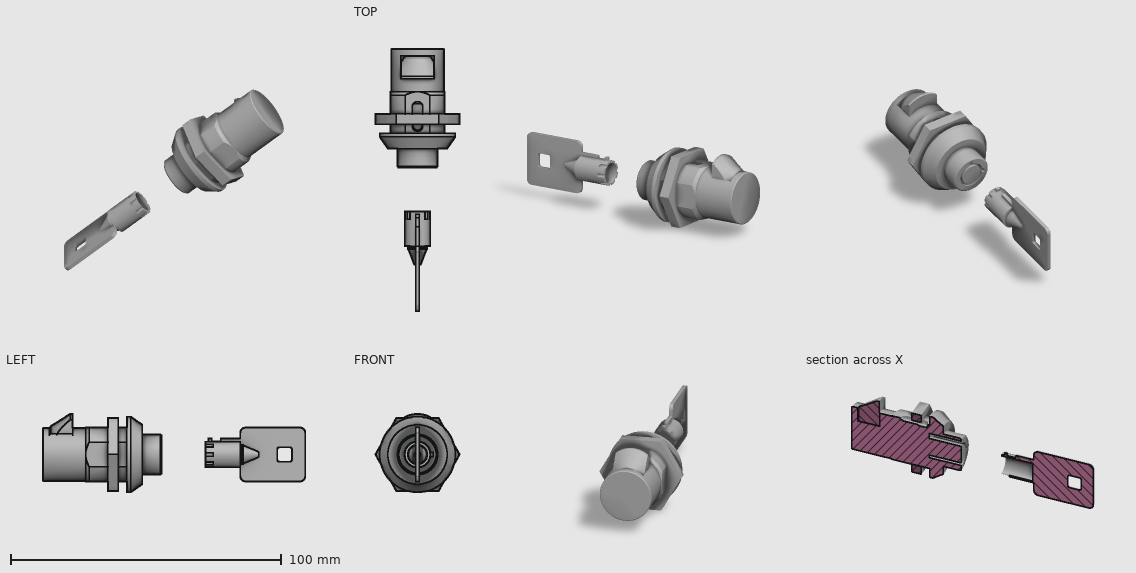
import cadquery as cq
import math


flange_radius = 14.0
flange_rim = 1.5
flange_face_radius = 11.0
flange_thickness = 5.7
nose_radius = 7.5
nose_length = 7.2
nose_chamfer = 0.6

sleeve_radius = 11.0
sleeve_length = 15.2
sleeve_flats_width = 20.0
sleeve_chamfer_length = 1.3
barrel_radius = 9.8
barrel_end = 31.1
barrel_chamfer = 0.3

slot_width = 4.0
slot_start = 0.7
slot_end = 11.5
slot_floor_radius = 8.9
slot_shelf_length = 0.8
slot_shelf_height = 9.3
slot_hole_radius = 1.65
slot_hole_floor = 8.5

keyway_outer_radius = 4.85
keyway_pin_radius = 3.9
notch_width = 1.65
top_notch_reach = 6.0
side_notch_reach = 5.7

pocket_width = 12.4
pocket_front = 20.1
pocket_rear = 28.6
pocket_floor = 3.9
latch_width = 12.1
latch_rear_gap = 0.3
latch_land = 0.9
latch_nose_length = 0.5
latch_top = 15.0
latch_land_radius = 9.4
latch_tip_radius = 5.0
latch_axis_height = latch_top - latch_land_radius

nut_across_flats = 27.0
nut_front = 3.2
nut_thickness = 3.9

tube_radius = 4.8
tube_bore_radius = keyway_pin_radius
tube_end_wall = 0.5
tube_rear = -28.9
tube_length = 12.9
tube_front = tube_rear - tube_length
keyway_depth = tube_length
bit_cut_radius = 0.7
bit_cut_length = 3.0
bit_cut_step = 45
blade_thickness = 1.5
web_height = 4.85
rib_height = 5.9
rib_start = 5.6
lug_start = 1.2
lug_length = 1.3
neck_radius = 2.8
neck_length = 0.5
collar_radius = 3.6
collar_length = 0.7
cone_base_radius = 3.4
cone_tip_radius = 1.2
cone_length = 5.7
bow_length = 24.1
bow_height = 20.0
bow_corner = 2.0
bow_hole_size = 5.3
bow_hole_corner = 0.8
bow_hole_offset = 16.4


def rod(radius, y_start, y_end):
    """Cylinder on the Y axis between two positions."""
    return cq.Workplane("XZ", origin=(0, y_start, 0)).circle(radius).extrude(y_start - y_end)


def block(width, y_start, y_end, z_low, z_high):
    """Box centred on X, spanning the given Y and Z ranges."""
    box = cq.Workplane("XY").box(width, y_end - y_start, z_high - z_low, centered=(True, False, False))
    return box.translate((0, y_start, z_low))


def turned(points):
    """Solid turned about the Y axis from (radius, y) points."""
    return cq.Workplane("XY").polyline(points).close().revolve(360, (0, 0, 0), (0, 1, 0))


def flats_envelope(y_start, y_end):
    """Square bar bounded by the four flats of the sleeve."""
    half_flats = sleeve_flats_width / 2
    return block(sleeve_flats_width, y_start, y_end, -half_flats, half_flats)


def make_sleeve():
    """Sleeve whose rear end is coned down to the distance of the flats."""
    chamfer_radius = sleeve_flats_width / 2
    sleeve = turned(
        [
            (0, 0),
            (sleeve_radius, 0),
            (sleeve_radius, sleeve_length - sleeve_chamfer_length),
            (chamfer_radius, sleeve_length),
            (0, sleeve_length),
        ]
    )
    return sleeve.intersect(flats_envelope(0, sleeve_length))


def make_flange_and_nose():
    """Flange with a coned front, and the chamfered nose that holds the keyway."""
    nose_end = -flange_thickness - nose_length
    return turned(
        [
            (0, 0),
            (flange_radius, 0),
            (flange_radius, -flange_rim),
            (flange_face_radius, -flange_thickness),
            (nose_radius, -flange_thickness),
            (nose_radius, nose_end + nose_chamfer),
            (nose_radius - nose_chamfer, nose_end),
            (0, nose_end),
        ]
    )


def make_sleeve_slot():
    """Round-ended slot with a cylindrical floor, a rear shelf and a blind front hole."""
    slot_length = slot_end - slot_start
    slot = (
        cq.Workplane("XY", origin=(0, slot_start + slot_length / 2, 0))
        .slot2D(slot_length, slot_width, 90)
        .extrude(sleeve_radius)
    )
    shelf = block(slot_width, slot_end - slot_shelf_length, slot_end, 0, slot_shelf_height)
    hole_centre = slot_start + slot_width / 2
    hole = (
        cq.Workplane("XY", origin=(0, hole_centre, slot_hole_floor))
        .circle(slot_hole_radius)
        .extrude(sleeve_radius - slot_hole_floor)
    )
    return slot.cut(rod(slot_floor_radius, slot_start, slot_end)).cut(shelf).union(hole)


def make_keyway():
    """Ring-shaped keyway with one notch above and one at the +X side."""
    face = -flange_thickness - nose_length
    floor = face + keyway_depth
    ring = rod(keyway_outer_radius, face, floor)
    ring = ring.union(block(notch_width, face, floor, 0, top_notch_reach))
    side_notch = block(notch_width, face, floor, 0, side_notch_reach).rotate((0, 0, 0), (0, 1, 0), 90)
    return ring.union(side_notch).cut(rod(keyway_pin_radius, face, floor))


def make_housing():
    barrel = rod(barrel_radius, sleeve_length, barrel_end).faces(">Y").chamfer(barrel_chamfer)
    pocket = block(pocket_width, pocket_front, pocket_rear, pocket_floor, barrel_radius)
    housing = make_flange_and_nose().union(make_sleeve()).union(barrel)
    return housing.cut(pocket).cut(make_sleeve_slot()).cut(make_keyway())


def make_latch():
    """Spring latch: a cone behind a short cylindrical land, trimmed to the latch width."""
    rear = pocket_rear - latch_rear_gap
    land_end = pocket_front + latch_land
    cone_end = rear - latch_nose_length
    profile = [
        (0, pocket_front),
        (latch_land_radius, pocket_front),
        (latch_land_radius, land_end),
        (latch_tip_radius, cone_end),
        (latch_tip_radius - latch_nose_length, rear),
        (0, rear),
    ]
    head = turned(profile).translate((0, 0, latch_axis_height))
    stem_height = latch_axis_height - pocket_floor
    half_outline = cq.Workplane("XY", origin=(0, 0, pocket_floor)).polyline(profile).close()
    half_stem = half_outline.extrude(stem_height)
    stem = half_stem.union(half_stem.mirror("YZ"))
    envelope = block(latch_width, pocket_front, rear, pocket_floor, latch_top)
    return head.union(stem).intersect(envelope)


def make_nut():
    """Hexagonal nut bored to the section of the sleeve."""
    across_corners = nut_across_flats / math.cos(math.radians(30))
    nut_rear = nut_front + nut_thickness
    hexagon = cq.Workplane("XZ", origin=(0, nut_front, 0)).polygon(6, across_corners).extrude(-nut_thickness)
    bore = rod(sleeve_radius, nut_front, nut_rear).intersect(flats_envelope(nut_front, nut_rear))
    return hexagon.cut(bore)


def make_key_tube():
    """Tube with half-round cuts around its rear end, everywhere but under the lug."""
    tube = rod(tube_radius, tube_front, tube_rear)
    cut = rod(bit_cut_radius, tube_rear - bit_cut_length, tube_rear).translate((0, 0, tube_radius))
    for angle in range(bit_cut_step, 360, bit_cut_step):
        tube = tube.cut(cut.rotate((0, 0, 0), (0, 1, 0), angle))
    return tube


def make_key_cone():
    """Neck, collar and tapering boss that carry the tube on the bow."""
    collar_rear = tube_front - neck_length
    collar_front = collar_rear - collar_length
    cone_front = collar_front - cone_length
    return turned(
        [
            (0, tube_front),
            (neck_radius, tube_front),
            (neck_radius, collar_rear),
            (collar_radius, collar_rear),
            (collar_radius, collar_front),
            (cone_base_radius, collar_front),
            (cone_tip_radius, cone_front),
            (0, cone_front),
        ]
    )


def make_key_bow():
    """Flat rounded handle with a square hole."""
    bow = block(blade_thickness, tube_front - bow_length, tube_front, -bow_height / 2, bow_height / 2)
    bow = bow.edges("|X").fillet(bow_corner)
    hole_centre = tube_front - bow_hole_offset
    half_hole = bow_hole_size / 2
    hole = block(2 * blade_thickness, hole_centre - half_hole, hole_centre + half_hole, -half_hole, half_hole)
    return bow.cut(hole.edges("|X").fillet(bow_hole_corner))


def make_key_blade():
    """Low web along the top of the tube, carrying a lug near its rear end and a taller rib at its front."""
    wall_middle = (tube_radius + tube_bore_radius) / 2
    lug_rear = tube_rear - lug_start
    web = block(blade_thickness, tube_front, lug_rear, wall_middle, web_height)
    lug = block(blade_thickness, lug_rear - lug_length, lug_rear, wall_middle, rib_height)
    rib = block(blade_thickness, tube_front, tube_rear - rib_start, wall_middle, rib_height)
    return web.union(lug).union(rib)


def make_key():
    bore = rod(tube_bore_radius, tube_front + tube_end_wall, tube_rear)
    tube = make_key_tube().union(make_key_blade()).cut(bore)
    return tube.union(make_key_cone()).union(make_key_bow())


housing = make_housing()
latch = make_latch()
nut = make_nut()
key = make_key()

bodies = [housing, latch, nut, key]
result = cq.Compound.makeCompound([body.solids().val() for body in bodies])